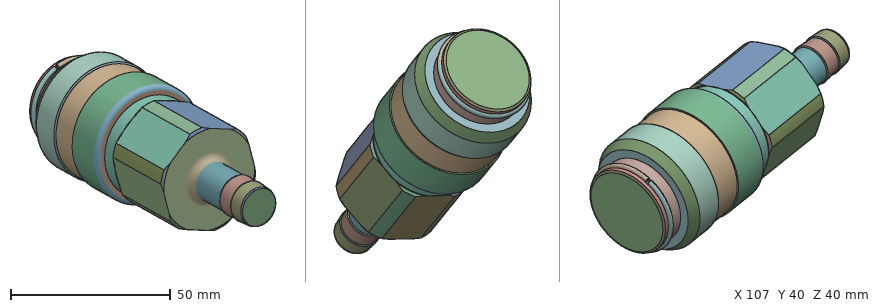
import cadquery as cq
import math

LENGTH = 107.0

NOSE_DIA = 30.0
NOSE_CHAMFER_DIA = 28.5
NOSE_CHAMFER_LENGTH = 0.4
GROOVE_DIA = 28.0
RING_X = 2.9
RING_WIRE_DIA = 1.9
RING_GAP = 1.0
RING_GAP_ANGLE = 25.0

SLEEVE_X = 8.2
SLEEVE_DIA = 40.0
SLEEVE_FACE_DIA = 36.0
SLEEVE_CONE_LENGTH = 3.4
SLEEVE_END_X = 45.5
SLEEVE_FILLET = 1.6
BAND_START_X = 21.4
BAND_END_X = 31.7
BAND_DIA = 39.0
BAND_RAMP_LENGTH = 0.4

NECK_DIA = 34.0
HEX_X = 51.1
HEX_END_X = 79.0
HEX_FLATS = 33.6
HEX_CORNER_DIA = 36.4
HEX_FACE_DIA = 34.6
HEX_CHAMFER_LENGTH = 0.5
HEX_CORNER_ANGLE = 15.0

TAIL_DIA = 13.1
TAIL_FILLET = 2.5
BARB_DIA = 13.9
BARB_STARTS = (94.8, 101.0)
BARB_RAMP_LENGTH = 0.3
BARB_FALL_DIA = 13.2
TIP_DIA = 12.6
TIP_CHAMFER_LENGTH = 0.6


def revolve_about_x(profile):
    """Turn a closed (x, radius) profile about the X axis."""
    return profile.close().revolve(360, (0, 0, 0), (1, 0, 0))


def make_nose():
    nose = (
        cq.Workplane("XY")
        .lineTo(0, NOSE_CHAMFER_DIA / 2)
        .lineTo(NOSE_CHAMFER_LENGTH, NOSE_DIA / 2)
        .lineTo(RING_X - RING_WIRE_DIA / 2, NOSE_DIA / 2)
        .lineTo(RING_X - RING_WIRE_DIA / 2, GROOVE_DIA / 2)
        .lineTo(RING_X + RING_WIRE_DIA / 2, GROOVE_DIA / 2)
        .lineTo(RING_X + RING_WIRE_DIA / 2, NOSE_DIA / 2)
        .lineTo(SLEEVE_X, NOSE_DIA / 2)
        .lineTo(SLEEVE_X, 0)
    )
    return revolve_about_x(nose)


def make_sleeve():
    fillet_mid = SLEEVE_FILLET * (1 - math.sqrt(0.5))
    sleeve = (
        cq.Workplane("XY")
        .moveTo(SLEEVE_X, 0)
        .lineTo(SLEEVE_X, SLEEVE_FACE_DIA / 2)
        .lineTo(SLEEVE_X + SLEEVE_CONE_LENGTH, SLEEVE_DIA / 2)
        .lineTo(BAND_START_X, SLEEVE_DIA / 2)
        .lineTo(BAND_START_X + BAND_RAMP_LENGTH, BAND_DIA / 2)
        .lineTo(BAND_END_X, BAND_DIA / 2)
        .lineTo(BAND_END_X, SLEEVE_DIA / 2)
        .lineTo(SLEEVE_END_X - SLEEVE_FILLET, SLEEVE_DIA / 2)
        .threePointArc(
            (SLEEVE_END_X - fillet_mid, SLEEVE_DIA / 2 - fillet_mid),
            (SLEEVE_END_X, SLEEVE_DIA / 2 - SLEEVE_FILLET),
        )
        .lineTo(SLEEVE_END_X, 0)
    )
    return revolve_about_x(sleeve)


def make_neck():
    neck_length = HEX_X - SLEEVE_END_X
    return cq.Workplane("YZ", origin=(SLEEVE_END_X, 0, 0)).circle(NECK_DIA / 2).extrude(neck_length)


def make_hexagon():
    """Hexagonal prism whose corners are turned off and chamfered at both ends."""
    sharp_corner_dia = HEX_FLATS / math.cos(math.pi / 6)
    prism = (
        cq.Workplane("YZ", origin=(HEX_X, 0, 0))
        .polygon(6, sharp_corner_dia)
        .extrude(HEX_END_X - HEX_X)
    )
    turned_blank = (
        cq.Workplane("XY")
        .moveTo(HEX_X, 0)
        .lineTo(HEX_X, HEX_FACE_DIA / 2)
        .lineTo(HEX_X + HEX_CHAMFER_LENGTH, HEX_CORNER_DIA / 2)
        .lineTo(HEX_END_X - HEX_CHAMFER_LENGTH, HEX_CORNER_DIA / 2)
        .lineTo(HEX_END_X, HEX_FACE_DIA / 2)
        .lineTo(HEX_END_X, 0)
    )
    return prism.intersect(revolve_about_x(turned_blank))


def make_tail():
    """Hose tail with a root fillet and sawtooth barbs."""
    fillet_mid = TAIL_FILLET * (1 - math.sqrt(0.5))
    tail = (
        cq.Workplane("XY")
        .moveTo(HEX_END_X, 0)
        .lineTo(HEX_END_X, TAIL_DIA / 2 + TAIL_FILLET)
        .threePointArc(
            (HEX_END_X + fillet_mid, TAIL_DIA / 2 + fillet_mid),
            (HEX_END_X + TAIL_FILLET, TAIL_DIA / 2),
        )
        .lineTo(BARB_STARTS[0], TAIL_DIA / 2)
    )
    barb_ends = (*BARB_STARTS[1:], LENGTH - TIP_CHAMFER_LENGTH)
    for start, end in zip(BARB_STARTS, barb_ends):
        tail = tail.lineTo(start + BARB_RAMP_LENGTH, BARB_DIA / 2).lineTo(end, BARB_FALL_DIA / 2)
    tail = tail.lineTo(LENGTH, TIP_DIA / 2).lineTo(LENGTH, 0)
    return revolve_about_x(tail)


def make_coupling():
    coupling = make_nose()
    for section in (make_sleeve(), make_neck(), make_hexagon(), make_tail()):
        coupling = coupling.union(section)
    return coupling.rotate((0, 0, 0), (1, 0, 0), -HEX_CORNER_ANGLE)


def make_snap_ring():
    """Round-wire ring seated in the nose groove, split by a narrow gap."""
    wire_centre = (GROOVE_DIA + RING_WIRE_DIA) / 2
    ring = (
        cq.Workplane("XY")
        .center(RING_X, wire_centre)
        .circle(RING_WIRE_DIA / 2)
        .revolve(360, (0, -wire_centre, 0), (1, -wire_centre, 0))
    )
    gap_cutter = (
        cq.Workplane("XY")
        .box(2 * RING_WIRE_DIA, RING_GAP, 2 * RING_WIRE_DIA)
        .translate((RING_X, 0, wire_centre))
        .rotate((0, 0, 0), (1, 0, 0), RING_GAP_ANGLE)
    )
    return ring.cut(gap_cutter)


coupling = make_coupling()
snap_ring = make_snap_ring()

result = cq.Compound.makeCompound([coupling.val(), snap_ring.val()])